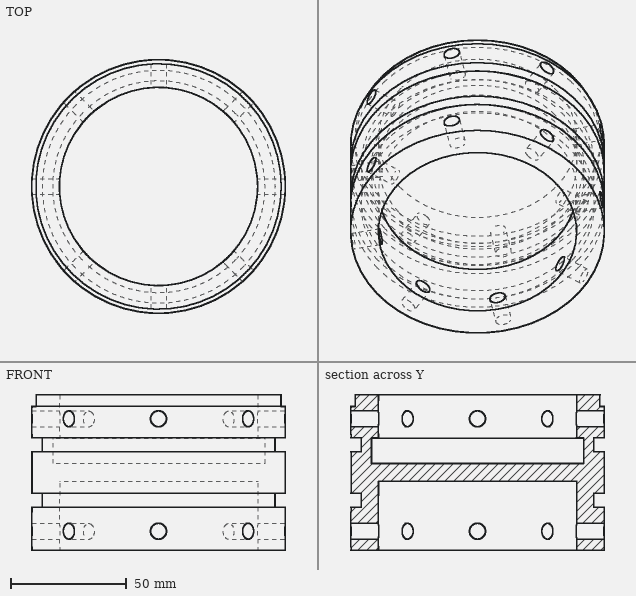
import cadquery as cq

outer_diameter = 109.7
height = 67.2
spigot_diameter = 106.1
spigot_height = 5.0
groove_diameter = 100.7
groove_width = 5.9
lower_groove_base = 18.6
upper_groove_base = 42.7
bore_diameter = 85.7
recess_diameter = 91.7
recess_top = 48.5
floor_top = 37.5
floor_thickness = 7.8
hole_diameter = 6.8
hole_heights = (8.2, 56.8)
holes_per_row = 8


def disc(diameter, base, top):
    """Solid cylinder on the Z axis between two heights."""
    return cq.Workplane("XY").workplane(offset=base).circle(diameter / 2).extrude(top - base)


def groove(base):
    """Ring that cuts one outside groove."""
    top = base + groove_width
    return disc(outer_diameter, base, top).cut(disc(groove_diameter, base, top))


def radial_hole(z, angle):
    """Cutter running outward from the axis through one side of the wall."""
    cutter = cq.Workplane("YZ").center(0, z).circle(hole_diameter / 2).extrude(outer_diameter)
    return cutter.rotate((0, 0, 0), (0, 0, 1), angle)


shoulder = height - spigot_height
body = disc(outer_diameter, 0, shoulder).union(disc(spigot_diameter, shoulder, height))
for groove_base in (lower_groove_base, upper_groove_base):
    body = body.cut(groove(groove_base))

body = body.cut(disc(bore_diameter, recess_top, height))
body = body.cut(disc(recess_diameter, floor_top, recess_top))
body = body.cut(disc(bore_diameter, 0, floor_top - floor_thickness))

for hole_height in hole_heights:
    for index in range(holes_per_row):
        body = body.cut(radial_hole(hole_height, index * 360 / holes_per_row))

result = body